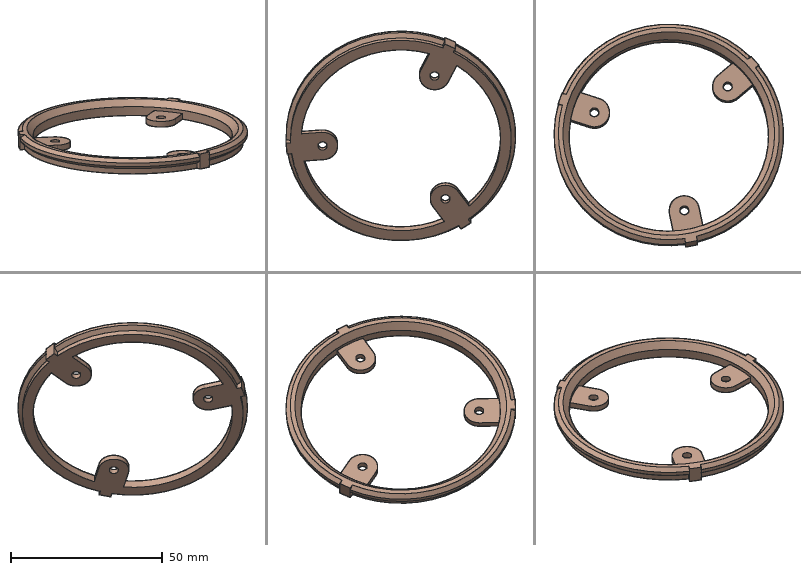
import cadquery as cq

outer_radius = 38.0
rim_offset = 1.45
rim_radius = outer_radius - rim_offset
bore_radius = 66.0 / 2
mouth_radius = 35.0
height = 5.25

bead_start = 1.8
bead_lower = 3.0
bead_upper = 4.2
bevel_start = 3.1

station_angles = (90, 210, 330)
key_width = 3.95
tab_width = 10.0
tab_thickness = 2.0
hole_radius_from_axis = 26.0
hole_diameter = 3.0

wall_middle = (bore_radius + rim_radius) / 2
key_root = (mouth_radius + rim_radius) / 2


def make_ring():
    """Revolve the wall section: beaded outside, bevelled inner mouth."""
    section = [
        (bore_radius, 0),
        (rim_radius, 0),
        (rim_radius, bead_start),
        (outer_radius, bead_lower),
        (outer_radius, bead_upper),
        (rim_radius, height),
        (mouth_radius, height),
        (bore_radius, bevel_start),
    ]
    return cq.Workplane("XZ").polyline(section).close().revolve(360, (0, 0), (0, 1))


def make_key():
    """Full-height flat-faced key along +X, rooted inside the wall of the ring."""
    return (
        cq.Workplane("XY")
        .box(outer_radius - key_root, key_width, height, centered=(False, True, False))
        .translate((key_root, 0, 0))
    )


def make_tab():
    """Round-ended screw tab on the +X side, pointing at the axis."""
    end_radius = tab_width / 2
    return (
        cq.Workplane("XY")
        .moveTo(wall_middle, end_radius)
        .lineTo(hole_radius_from_axis, end_radius)
        .threePointArc(
            (hole_radius_from_axis - end_radius, 0),
            (hole_radius_from_axis, -end_radius),
        )
        .lineTo(wall_middle, -end_radius)
        .close()
        .extrude(tab_thickness)
        .cut(
            cq.Workplane("XY")
            .center(hole_radius_from_axis, 0)
            .circle(hole_diameter / 2)
            .extrude(tab_thickness)
        )
    )


result = make_ring()
for feature in (make_key(), make_tab()):
    for angle in station_angles:
        result = result.union(feature.rotate((0, 0, 0), (0, 0, 1), angle))